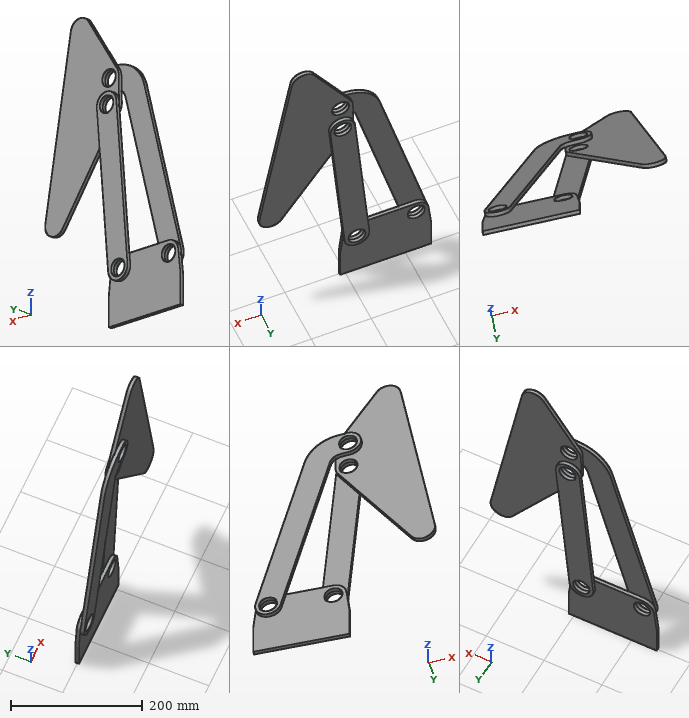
import cadquery as cq
import math

plate_thickness = 19.0 / 3
hole_diameter = 28.5
end_radius = 20.5

overall_width = 287.5
overall_height = 516.0

base_width = 152.0
base_side_height = 50.5
pivot_inset = 25.5
base_pivot_height = 89.0

hook_base_pivot = (pivot_inset, base_pivot_height)
link_base_pivot = (base_width - pivot_inset, base_pivot_height)
link_blade_pivot = (150.5, 359.5)
hook_blade_pivot = (151.5, 404.0)

blade_top_tip = (212.5, overall_height - end_radius)
blade_low_tip = (overall_width - end_radius, 196.0)

arm_lean = math.radians(15.3)
hook_rise = math.radians(5)
bend_radius = 2 * end_radius

middle_layer = -plate_thickness / 2
front_layer = middle_layer - plate_thickness
back_layer = middle_layer + plate_thickness


def layer_plane(front_face):
    """XZ sketch plane whose extrusions grow toward +Y."""
    return cq.Workplane(cq.Plane(origin=(0, front_face, 0), xDir=(1, 0, 0), normal=(0, -1, 0)))


def discs(centres, radius, front_face):
    return layer_plane(front_face).pushPoints(centres).circle(radius).extrude(-plate_thickness)


def drill(plate, pivots, front_face):
    return plate.cut(discs(pivots, hole_diameter / 2, front_face))


def rounded_plate(centres, front_face):
    """Plate wrapped tightly around end discs whose centres are listed clockwise."""
    corners = []
    for start, end in zip(centres, centres[1:] + centres[:1]):
        run, rise = end[0] - start[0], end[1] - start[1]
        length = math.hypot(run, rise)
        shift_x = -rise / length * end_radius
        shift_z = run / length * end_radius
        corners.append((start[0] + shift_x, start[1] + shift_z))
        corners.append((end[0] + shift_x, end[1] + shift_z))
    body = layer_plane(front_face).polyline(corners).close().extrude(-plate_thickness)
    return body.union(discs(centres, end_radius, front_face))


def tangent_point(outside, centre):
    """Right-hand point where a line from a point below touches an end disc."""
    run, rise = outside[0] - centre[0], outside[1] - centre[1]
    angle = math.atan2(rise, run) + math.acos(end_radius / math.hypot(run, rise))
    return (centre[0] + end_radius * math.cos(angle), centre[1] + end_radius * math.sin(angle))


def make_base():
    right_shoulder = (base_width, base_side_height)
    right_touch = tangent_point(right_shoulder, link_base_pivot)
    base_top = base_pivot_height + end_radius
    corner_offset = end_radius * math.sqrt(0.5)
    plate = (
        layer_plane(middle_layer)
        .moveTo(0, 0)
        .lineTo(base_width, 0)
        .lineTo(*right_shoulder)
        .lineTo(*right_touch)
        .threePointArc(
            (link_base_pivot[0] + corner_offset, base_pivot_height + corner_offset),
            (link_base_pivot[0], base_top),
        )
        .lineTo(hook_base_pivot[0], base_top)
        .threePointArc(
            (hook_base_pivot[0] - corner_offset, base_pivot_height + corner_offset),
            (base_width - right_touch[0], right_touch[1]),
        )
        .lineTo(0, base_side_height)
        .close()
        .extrude(-plate_thickness)
    )
    return drill(plate, [hook_base_pivot, link_base_pivot], middle_layer)


def make_blade():
    centres = [hook_blade_pivot, blade_top_tip, blade_low_tip, link_blade_pivot]
    plate = rounded_plate(centres, middle_layer)
    return drill(plate, [hook_blade_pivot, link_blade_pivot], middle_layer)


def make_straight_link():
    pivots = [link_base_pivot, link_blade_pivot]
    return drill(rounded_plate(pivots, back_layer), pivots, back_layer)


def make_hooked_arm():
    leg = (math.sin(arm_lean), math.cos(arm_lean))
    hook = (math.cos(hook_rise), math.sin(hook_rise))
    run = hook_blade_pivot[0] - hook_base_pivot[0]
    rise = hook_blade_pivot[1] - hook_base_pivot[1]
    leg_length = (run * hook[1] - rise * hook[0]) / (leg[0] * hook[1] - leg[1] * hook[0])
    corner = (hook_base_pivot[0] + leg_length * leg[0], hook_base_pivot[1] + leg_length * leg[1])
    turn = math.pi / 2 - arm_lean - hook_rise
    setback = bend_radius * math.tan(turn / 2)
    bend_start = (corner[0] - setback * leg[0], corner[1] - setback * leg[1])
    bend_end = (corner[0] + setback * hook[0], corner[1] + setback * hook[1])
    plate = (
        layer_plane(front_layer)
        .moveTo(*hook_base_pivot)
        .lineTo(*bend_start)
        .tangentArcPoint(bend_end, relative=False)
        .lineTo(*hook_blade_pivot)
        .offset2D(end_radius)
        .extrude(-plate_thickness)
    )
    return drill(plate, [hook_base_pivot, hook_blade_pivot], front_layer)


base = make_base()
blade = make_blade()
straight_link = make_straight_link()
hooked_arm = make_hooked_arm()

result = cq.Compound.makeCompound([base.val(), blade.val(), straight_link.val(), hooked_arm.val()])